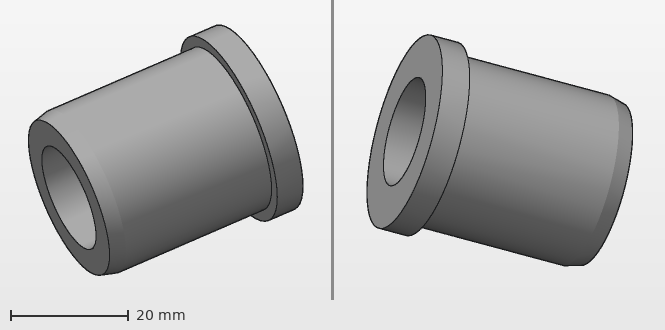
import cadquery as cq
import math

length = 36.0
flange_diameter = 34.0
flange_thickness = 5.0
body_diameter = 30.0
bore_diameter = 19.0

taper_length = 2.8
taper_angle = 15.0

flange_radius = flange_diameter / 2
body_radius = body_diameter / 2
bore_radius = bore_diameter / 2
tip_radius = body_radius - taper_length * math.tan(math.radians(taper_angle))
shoulder_y = length - flange_thickness

half_section = (
    cq.Workplane("XY")
    .moveTo(bore_radius, 0)
    .lineTo(tip_radius, 0)
    .lineTo(body_radius, taper_length)
    .lineTo(body_radius, shoulder_y)
    .lineTo(flange_radius, shoulder_y)
    .lineTo(flange_radius, length)
    .lineTo(bore_radius, length)
    .close()
)

result = half_section.revolve(360, (0, 0, 0), (0, 1, 0))